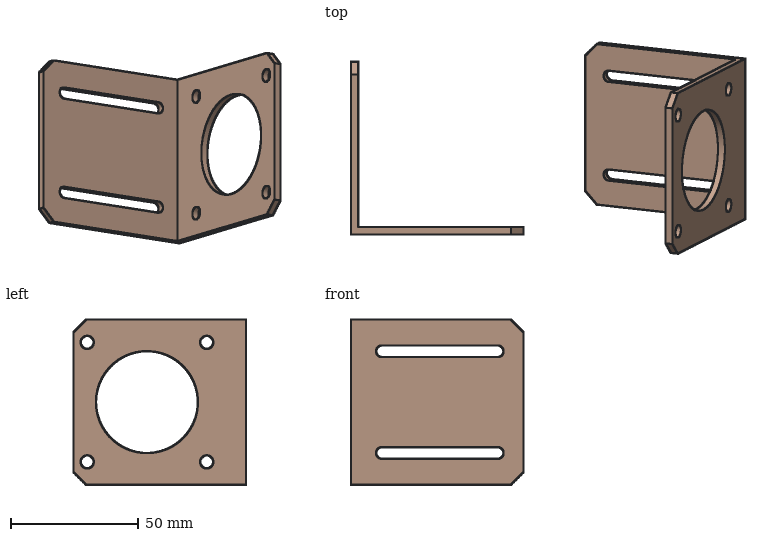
import cadquery as cq

leg_length = 68.0
height = 65.0
thickness = 3.0
corner_chamfer = 5.0

slot_length = 50.0
slot_width = 4.5
slot_spacing = 40.0
slot_center_x = 35.0

bore_diameter = 40.0
bore_center_y = 39.0
bolt_spacing = 47.0
bolt_diameter = 5.0


def make_angle():
    """L-shaped bracket with its outer corner edge on the Z axis, centred in height."""
    slotted_leg = cq.Workplane("XY").box(leg_length, thickness, height, centered=(False, False, True))
    motor_leg = cq.Workplane("XY").box(thickness, leg_length, height, centered=(False, False, True))
    angle = slotted_leg.union(motor_leg)
    angle = angle.faces(">X").edges("|Y").chamfer(corner_chamfer)
    return angle.faces(">Y").edges("|X").chamfer(corner_chamfer)


def make_slots():
    """Two parallel adjustment slots through the leg along X."""
    return (
        cq.Workplane("XZ")
        .center(slot_center_x, 0)
        .rarray(0.7, slot_spacing, 1, 2)
        .slot2D(slot_length, slot_width)
        .extrude(-thickness)
    )


def make_motor_holes():
    """Central bore and its square pattern of bolt holes through the leg along Y."""
    face = cq.Workplane("YZ").center(bore_center_y, 0)
    bore = face.circle(bore_diameter / 2).extrude(thickness)
    bolts = face.rarray(bolt_spacing, bolt_spacing, 2, 2).circle(bolt_diameter / 2).extrude(thickness)
    return bore.union(bolts)


result = make_angle().cut(make_slots()).cut(make_motor_holes())